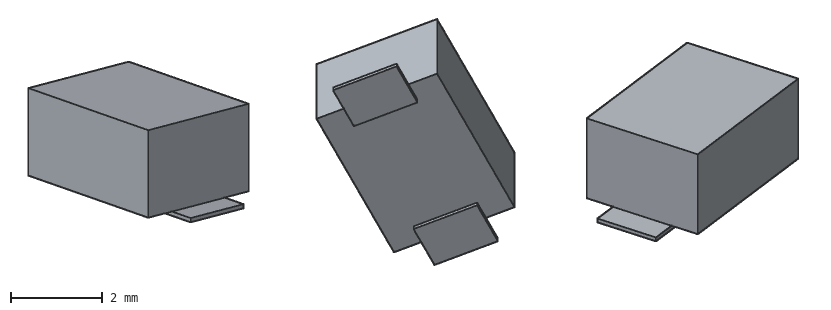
import cadquery as cq

overall_length = 5.23
overall_height = 2.1

terminal_length = 1.075
terminal_width = 1.525
terminal_thickness = 0.1

body_length = 3.995
body_width = 2.9
body_height = overall_height - terminal_thickness


def make_body():
    """Block whose underside lies on the top faces of the terminals."""
    return (
        cq.Workplane("XY")
        .workplane(offset=terminal_thickness)
        .rect(body_length, body_width)
        .extrude(body_height)
    )


def make_terminal(side):
    """Flat strip at the -X end (side = -1) or the +X end (side = 1)."""
    center_x = side * (overall_length - terminal_length) / 2
    return (
        cq.Workplane("XY")
        .center(center_x, 0)
        .rect(terminal_length, terminal_width)
        .extrude(terminal_thickness)
    )


body = make_body()
terminals = [make_terminal(side) for side in (-1, 1)]

result = cq.Compound.makeCompound([body.val(), *[terminal.val() for terminal in terminals]])